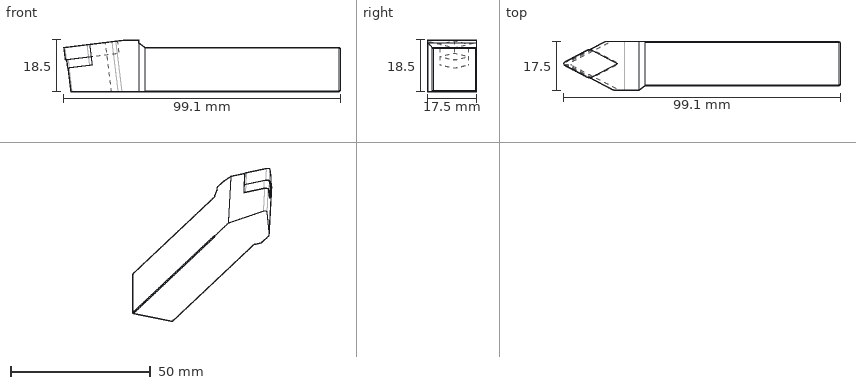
import cadquery as cq
import math

LENGTH = 99.1
SHANK_SIDE = 15.95
SHANK_START = 29.0
SHANK_CHAMFER = 0.3
END_CHAMFER = 0.5
BACK_Y = SHANK_SIDE / 2

HEAD_HEIGHT = 18.5
HEAD_WIDTH = 17.5
HEAD_FLAT_START = 21.8
HEAD_FLAT_END = 26.8
FRONT_Y = BACK_Y - HEAD_WIDTH
SHOULDER_RISE = HEAD_WIDTH - SHANK_SIDE
RAKE_ANGLE = 7
TIP_HEIGHT = HEAD_HEIGHT - HEAD_FLAT_START * math.tan(math.radians(RAKE_ANGLE))
FLANK_CORNER_RADIUS = 3.0

HALF_POINT_ANGLE = 27.5
INSERT_DIAGONAL = 20.3
INSERT_THICKNESS = 4.5
INSERT_NOSE_RADIUS = 0.8
INSERT_SIDE_RADIUS = 1.8
PAD_THICKNESS = 3.0
PAD_NOSE_RADIUS = 1.2
HOLDER_NOSE_RADIUS = 0.8
HOLDER_NOSE_SETBACK = 0.6

POINT_SLOPE = math.tan(math.radians(HALF_POINT_ANGLE))
CUT_DEPTH = 39.6


def sharp_point(radius):
    """Distance from a rounded nose to the sharp point of its flanks."""
    return radius * (1 / math.sin(math.radians(HALF_POINT_ANGLE)) - 1)


def rake_plane():
    """Plane of the sloping top, with its origin at the cutting tip."""
    angle = math.radians(RAKE_ANGLE)
    return cq.Plane(
        origin=(0, 0, TIP_HEIGHT),
        xDir=(math.cos(angle), 0, math.sin(angle)),
        normal=(-math.sin(angle), 0, math.cos(angle)),
    )


def rhombus(nose_radius, top_depth, thickness):
    """Rhombic plate below the rake plane, rounded at the nose and the two side corners."""
    tip = -sharp_point(INSERT_NOSE_RADIUS)
    half_length = INSERT_DIAGONAL / 2
    half_width = half_length * POINT_SLOPE
    middle = tip + half_length
    plate = (
        cq.Workplane(rake_plane())
        .workplane(offset=-top_depth)
        .polyline([
            (tip, 0),
            (middle, -half_width),
            (tip + INSERT_DIAGONAL, 0),
            (middle, half_width),
        ])
        .close()
        .extrude(-thickness)
    )
    upright = plate.edges(cq.selectors.ParallelDirSelector(rake_plane().zDir))
    plate = upright.edges("<X").fillet(nose_radius)
    upright = plate.edges(cq.selectors.ParallelDirSelector(rake_plane().zDir))
    return upright.edges(">Y or <Y").fillet(INSERT_SIDE_RADIUS)


def make_shank():
    shank = (
        cq.Workplane("XY")
        .box(LENGTH - SHANK_START, SHANK_SIDE, SHANK_SIDE, centered=(False, True, False))
        .translate((SHANK_START, 0, 0))
    )
    return shank.edges("|X").chamfer(SHANK_CHAMFER).faces(">X").chamfer(END_CHAMFER)


def make_head():
    side_profile = (
        cq.Workplane("XZ", origin=(0, BACK_Y, 0))
        .moveTo(0, 0)
        .lineTo(0, TIP_HEIGHT)
        .lineTo(HEAD_FLAT_START, HEAD_HEIGHT)
        .lineTo(HEAD_FLAT_END, HEAD_HEIGHT)
        .lineTo(HEAD_FLAT_END, SHANK_SIDE + SHOULDER_RISE)
        .lineTo(SHANK_START, SHANK_SIDE)
        .lineTo(SHANK_START, 0)
        .close()
        .extrude(HEAD_WIDTH)
    )
    plan_profile = (
        cq.Workplane("XY")
        .polyline([
            (0, BACK_Y),
            (SHANK_START, BACK_Y),
            (SHANK_START, -BACK_Y),
            (HEAD_FLAT_END, FRONT_Y),
            (0, FRONT_Y),
        ])
        .close()
        .extrude(HEAD_HEIGHT)
    )
    return side_profile.intersect(plan_profile).intersect(make_flanks())


def make_flanks():
    """Pointed prism, square to the rake plane, that bounds the front of the head."""
    tip = HOLDER_NOSE_SETBACK - sharp_point(HOLDER_NOSE_RADIUS)
    rear = tip + 2 * SHANK_START
    prism = (
        cq.Workplane(rake_plane())
        .polyline([
            (tip, 0),
            (tip - FRONT_Y / POINT_SLOPE, FRONT_Y),
            (rear, FRONT_Y),
            (rear, BACK_Y),
            (tip + BACK_Y / POINT_SLOPE, BACK_Y),
        ])
        .close()
        .extrude(CUT_DEPTH, both=True)
    )
    upright = cq.selectors.ParallelDirSelector(rake_plane().zDir)
    prism = prism.edges(upright).edges("<X").fillet(HOLDER_NOSE_RADIUS)
    return prism.edges(upright).edges("<Y").edges("<X").fillet(FLANK_CORNER_RADIUS)


def make_insert():
    return rhombus(INSERT_NOSE_RADIUS, 0, INSERT_THICKNESS)


def make_holder():
    pad = rhombus(PAD_NOSE_RADIUS, INSERT_THICKNESS, PAD_THICKNESS)
    return make_head().union(make_shank()).union(pad).cut(make_insert())


holder = make_holder()
insert = make_insert()
result = cq.Compound.makeCompound([holder.val(), insert.val()])